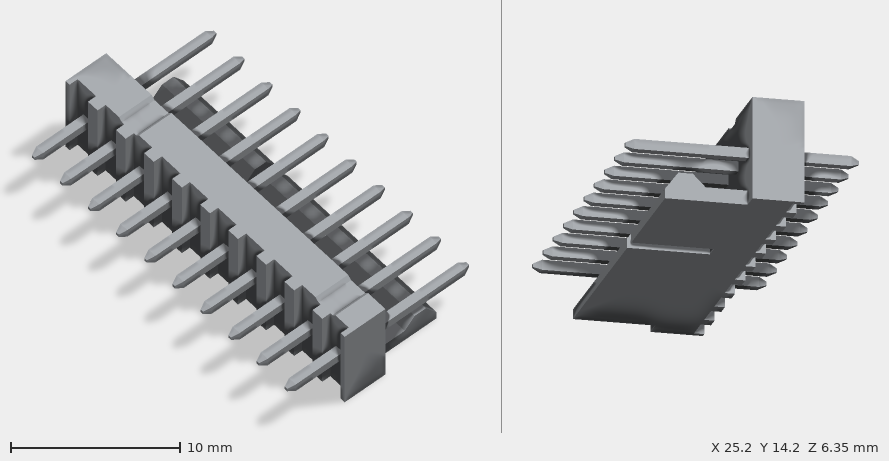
import cadquery as cq


pin_count = 10
pin_row_span = 22.85
pitch = pin_row_span / (pin_count - 1)
pin_positions = [(i - (pin_count - 1) / 2) * pitch for i in range(pin_count)]

housing_length = 25.25
housing_depth = 3.18
housing_height = 6.35

channel_width = 1.67
channel_depth = 0.63

notch_positions = [-3 * pitch, 4 * pitch]
notch_top_width = 1.82
notch_floor_width = 1.25
notch_depth = 0.25

pin_size = 0.63
pin_tip_size = 0.23
pin_tip_length = 0.5
pin_front_reach = 3.55
pin_back_reach = 7.47
pin_height = 3.13

tongue_width = pin_row_span
tongue_reach = 5.02
tongue_thickness = 0.88
tongue_nose_height = 0.6
hook_height = 1.67
hook_foot = 2.55
hook_crest_start = 3.33
hook_crest_end = 4.22
tongue_gap_width = 0.98
tongue_gap_position = -pitch


def make_housing():
    """Block with a channel around every pin and notches across the top."""
    housing = cq.Workplane("XY").box(
        housing_length, housing_depth, housing_height, centered=(True, False, False)
    )
    channel = cq.Workplane("XY").box(
        channel_width, channel_depth, housing_height, centered=(True, False, False)
    )
    for x in pin_positions:
        housing = housing.cut(channel.translate((x, 0, 0)))
    for x in notch_positions:
        housing = housing.cut(make_notch().translate((x, 0, 0)))
    return housing


def make_notch():
    """Trapezoidal cutter running front to back through the top face."""
    half_top = notch_top_width / 2
    half_floor = notch_floor_width / 2
    floor_height = housing_height - notch_depth
    outline = [
        (-half_top, housing_height),
        (-half_floor, floor_height),
        (half_floor, floor_height),
        (half_top, housing_height),
    ]
    return cq.Workplane("XZ").polyline(outline).close().extrude(-housing_depth)


def make_tongue():
    """Flat tongue with a hooked end, split by a gap through its full reach."""
    rear = housing_depth
    profile = [
        (rear, 0),
        (rear + tongue_reach, 0),
        (rear + tongue_reach, tongue_nose_height),
        (rear + hook_crest_end, hook_height),
        (rear + hook_crest_start, hook_height),
        (rear + hook_foot, tongue_thickness),
        (rear, tongue_thickness),
    ]
    tongue = cq.Workplane("YZ").polyline(profile).close().extrude(tongue_width / 2, both=True)
    gap = (
        cq.Workplane("XY")
        .box(tongue_gap_width, tongue_reach, hook_height, centered=(True, False, False))
        .translate((tongue_gap_position, rear, 0))
    )
    return tongue.cut(gap)


def make_pin():
    """Square pin along Y at X = 0, tapered at both ends."""
    front_shoulder = pin_tip_length - pin_front_reach
    back_shoulder = housing_depth + pin_back_reach - pin_tip_length
    shank = (
        cq.Workplane("XZ", origin=(0, front_shoulder, pin_height))
        .rect(pin_size, pin_size)
        .extrude(front_shoulder - back_shoulder)
    )
    front_tip = make_tip(front_shoulder, pin_tip_length)
    back_tip = make_tip(back_shoulder, -pin_tip_length)
    return shank.union(front_tip).union(back_tip)


def make_tip(shoulder, length):
    """Tapered tip from a shoulder; positive length points toward -Y."""
    return (
        cq.Workplane("XZ", origin=(0, shoulder, pin_height))
        .rect(pin_size, pin_size)
        .workplane(offset=length)
        .rect(pin_tip_size, pin_tip_size)
        .loft()
    )


result = make_housing().union(make_tongue())
pin = make_pin()
for x in pin_positions:
    result = result.union(pin.translate((x, 0, 0)))